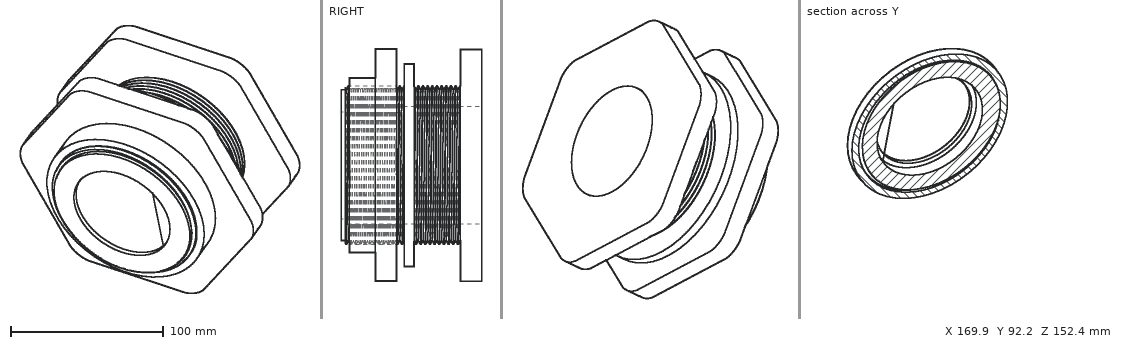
import cadquery as cq
import math


hex_across_flats = 152.2
hex_flat_length = 70.2
hex_corner_reach = 84.93
hex_sides = 6
hex_thickness = 14.0
hex_offset = 0.12

fitting_length = 92.2
barrel_radius = 49.5
flange_radius = 66.5
flange_start = 44.3
flange_thickness = 6.6
lip_bore_radius = 35.0
lip_length = 3.2
main_bore_radius = 38.5

inner_join_radius = 45.0

thread_pitch = 3.05
thread_crest_radius = 52.0
thread_crest_width = 0.3
thread_end = 89.6
coil_core_radius = 20.0
coil_start = 7.3
coil_turns = 28

nut_start = 55.8
collar_radius = 57.3
collar_length = 17.0


def station(distance):
    """Workplane facing -Y at the given distance from the back of the head."""
    return cq.Workplane("XZ", origin=(0, -distance, 0))


def hex_plate(start, offset):
    """Hexagonal plate with round corners and flats at top and bottom."""
    step = 360 / hex_sides
    flat_end_reach = math.hypot(hex_flat_length, hex_across_flats) / 2
    half_flat = math.degrees(math.atan(hex_flat_length / hex_across_flats))

    def point(reach, angle):
        return (
            reach * math.cos(math.radians(angle)),
            reach * math.sin(math.radians(angle)),
        )

    outline = station(start).center(0, offset).moveTo(*point(flat_end_reach, step / 2 - half_flat))
    for side in range(hex_sides):
        flat_angle = step * (side + 0.5)
        outline = outline.lineTo(*point(flat_end_reach, flat_angle + half_flat))
        outline = outline.threePointArc(
            point(hex_corner_reach, flat_angle + step / 2),
            point(flat_end_reach, flat_angle + step - half_flat),
        )
    return outline.close().extrude(hex_thickness)


def disc(start, radius, length):
    return station(start).circle(radius).extrude(length)


def ramp_turn(radius, height):
    """One left-hand helical turn about the Z axis, starting at the given height."""
    base = cq.Vector(0, 0, height)
    axis = cq.Vector(0, 0, 1)
    return cq.Wire.makeHelix(thread_pitch, thread_pitch, radius, base, axis, lefthand=True)


def thread_coil():
    """Closely wound coil about Z whose turns touch, so that its outside is the thread."""
    crest_low = (thread_pitch - thread_crest_width) / 2
    crest_high = crest_low + thread_crest_width
    profile = [
        (coil_core_radius, 0),
        (barrel_radius, 0),
        (thread_crest_radius, crest_low),
        (thread_crest_radius, crest_high),
        (barrel_radius, thread_pitch),
        (coil_core_radius, thread_pitch),
    ]
    faces = []
    for turn in range(coil_turns):
        rails = [ramp_turn(radius, height + turn * thread_pitch) for radius, height in profile]
        inner_low, root_low, low_edge, high_edge, root_high, inner_high = rails
        sides = [
            (root_low, low_edge),
            (low_edge, high_edge),
            (high_edge, root_high),
            (inner_high, inner_low),
        ]
        if turn == 0:
            sides.append((inner_low, root_low))
        if turn == coil_turns - 1:
            sides.append((root_high, inner_high))
        faces += [cq.Face.makeRuledSurface(first, second) for first, second in sides]
    for lift in (0, coil_turns * thread_pitch):
        corners = [cq.Vector(radius, 0, height + lift) for radius, height in profile]
        faces.append(cq.Face.makeFromWires(cq.Wire.makePolygon(corners, close=True)))
    return cq.Workplane(cq.Solid.makeSolid(cq.Shell.makeShell(faces)))


def threaded_barrel():
    """Thread between the head and the plain tip."""
    coil = thread_coil().rotate((0, 0, 0), (1, 0, 0), 90).translate((0, -coil_start, 0))
    barrel_span = disc(hex_thickness, flange_radius, thread_end - hex_thickness)
    bore = disc(0, main_bore_radius, 2 * fitting_length)
    return coil.cut(bore).intersect(barrel_span)


def lipped_tip():
    """Plain end of the barrel with the lip that narrows the bore."""
    lip_start = fitting_length - lip_length
    tip = disc(thread_end, barrel_radius, fitting_length - thread_end)
    tip = tip.union(disc(lip_start, inner_join_radius, lip_length))
    return tip.cut(disc(lip_start, lip_bore_radius, lip_length))


def make_fitting():
    flange = disc(flange_start, flange_radius, flange_thickness)
    flange = flange.cut(disc(flange_start, inner_join_radius, flange_thickness))
    head = hex_plate(0, -hex_offset).cut(disc(0, main_bore_radius, hex_thickness))
    return threaded_barrel().union(flange).union(head).union(lipped_tip())


def make_nut():
    """Hexagonal nut with a round collar, bored to fit over the thread crests."""
    nut_length = hex_thickness + collar_length
    body = hex_plate(nut_start, hex_offset)
    body = body.union(disc(nut_start + hex_thickness, collar_radius, collar_length))
    return body.cut(disc(nut_start, thread_crest_radius, nut_length))


fitting = make_fitting()
nut = make_nut()

result = cq.Compound.makeCompound([fitting.solids().val(), nut.solids().val()])